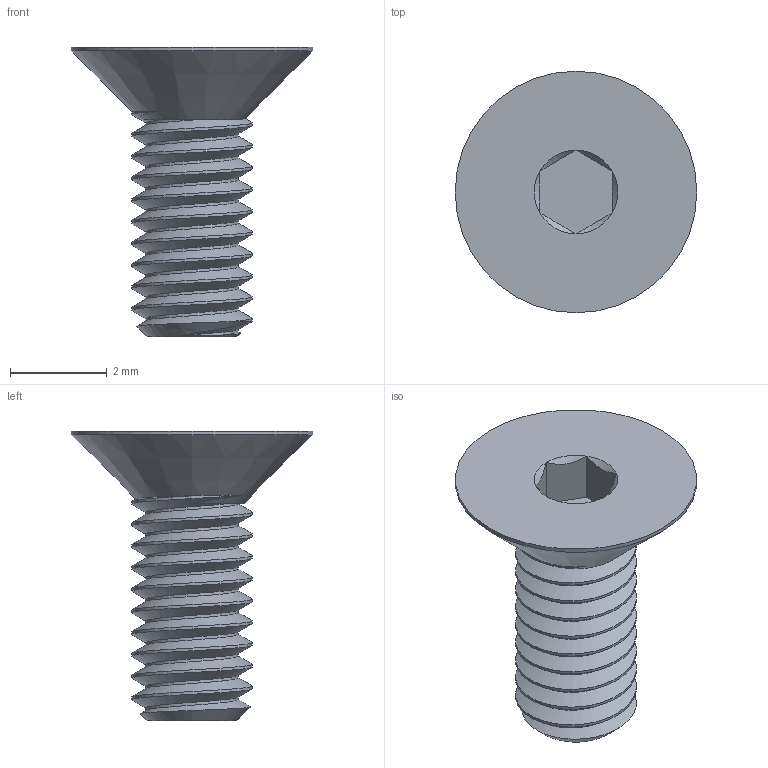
import cadquery as cq
import math


head_diameter = 5.0
rim_height = 0.08
head_height = 1.5
overall_length = 6.0

thread_diameter = 2.5
thread_root_diameter = 1.92
pitch = 0.45
flank_angle = math.radians(30)
crest_width = pitch / 8
crest_z = -1.595

tip_diameter = 1.86
tip_allowance = 1.0

socket_across_flats = 1.5
socket_depth = 1.04

head_radius = head_diameter / 2
crest_radius = thread_diameter / 2
root_radius = thread_root_diameter / 2
flank_height = (crest_radius - root_radius) * math.tan(flank_angle)
tip_radius = tip_diameter / 2
socket_corner_radius = socket_across_flats / 2 / math.cos(math.pi / 6)


def make_head():
    """Thin cylindrical rim over a 90 degree countersink cone."""
    neck_radius = head_radius - (head_height - rim_height)
    return (
        cq.Workplane("XZ")
        .lineTo(head_radius, 0)
        .lineTo(head_radius, -rim_height)
        .lineTo(neck_radius, -head_height)
        .lineTo(0, -head_height)
        .close()
        .revolve(360, (0, 0, 0), (0, 1, 0))
    )


def make_socket():
    """Hexagonal pocket with corners on the Y axis and a 45 degree lead-in cone."""
    hexagon = (
        cq.Workplane("XY")
        .transformed(rotate=(0, 0, 90))
        .polygon(6, 2 * socket_corner_radius)
        .extrude(-socket_depth)
    )
    lead_in = (
        cq.Workplane("XZ")
        .lineTo(socket_corner_radius, 0)
        .lineTo(0, -socket_corner_radius)
        .close()
        .revolve(360, (0, 0, 0), (0, 1, 0))
    )
    return hexagon.union(lead_in)


def thread_outline(start_z):
    """(radius, z) corners of the thread along one pitch, from root to root."""
    return [
        (root_radius, start_z),
        (crest_radius, start_z + flank_height),
        (crest_radius, start_z + flank_height + crest_width),
        (root_radius, start_z + 2 * flank_height + crest_width),
        (root_radius, start_z + pitch),
    ]


def one_turn_helix(radius, start_z):
    """Edge that climbs one pitch, starting on the +X side at start_z."""
    return cq.Wire.makeHelix(pitch, pitch, radius, cq.Vector(0, 0, start_z)).Edges()[0]


def make_thread_turn(start_z):
    """Faces of one right-hand turn: a flank, the crest, a flank and the root.

    The turn begins and ends on the +X side, with its lowest edge at start_z.
    """
    outline = thread_outline(start_z)
    helices = [one_turn_helix(radius, z) for radius, z in outline]
    return [
        cq.Face.makeRuledSurface(lower, upper)
        for lower, upper in zip(helices, helices[1:])
    ]


def make_thread_end(start_z):
    """Helicoid closing one end of the thread, and the flat step where it wraps."""
    axis_start = cq.Vector(0, 0, start_z)
    axis_end = cq.Vector(0, 0, start_z + pitch)
    axis = cq.Edge.makeLine(axis_start, axis_end)
    helicoid = cq.Face.makeRuledSurface(axis, one_turn_helix(root_radius, start_z))
    step_corners = [cq.Vector(radius, 0, z) for radius, z in thread_outline(start_z)]
    step = cq.Face.makeFromWires(
        cq.Wire.makePolygon([axis_start, *step_corners, axis_end], close=True)
    )
    return [helicoid, step]


def make_threaded_rod():
    """Solid threaded rod, from below the tip to inside the head."""
    top_z = crest_z + pitch - crest_width / 2 - flank_height
    turns = math.ceil((top_z + overall_length) / pitch) + 1
    bottom_z = top_z - turns * pitch
    faces = make_thread_end(bottom_z) + make_thread_end(top_z)
    for turn in range(turns):
        faces += make_thread_turn(bottom_z + turn * pitch)
    return cq.Workplane(obj=cq.Solid.makeSolid(cq.Shell.makeShell(faces)))


def make_tip_cutter():
    """Everything below the end face and outside the 45 degree tip chamfer."""
    cutter_radius = crest_radius + tip_allowance
    chamfer_top = -overall_length + cutter_radius - tip_radius
    cutter_bottom = -overall_length - tip_allowance
    return (
        cq.Workplane("XZ")
        .moveTo(0, -overall_length)
        .lineTo(tip_radius, -overall_length)
        .lineTo(cutter_radius, chamfer_top)
        .lineTo(cutter_radius, cutter_bottom)
        .lineTo(0, cutter_bottom)
        .close()
        .revolve(360, (0, 0, 0), (0, 1, 0))
    )


shank = make_threaded_rod().cut(make_tip_cutter())
result = make_head().union(shank).cut(make_socket())